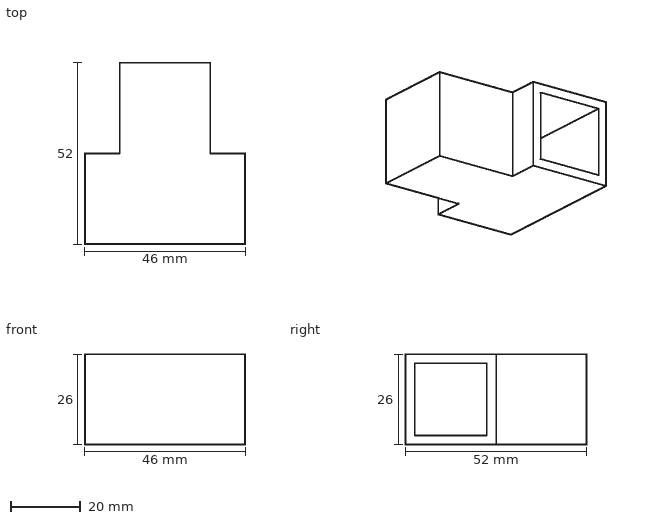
import cadquery as cq

tube_side = 26.0
run_length = 46.0
branch_length = 26.0
bore_side = 20.6

overall_depth = tube_side + branch_length


def through_tube_body():
    """Solid bar along X, with its front face at Y = 0."""
    return cq.Workplane("XY").box(run_length, tube_side, tube_side).translate((0, tube_side / 2, 0))


def branch_body():
    """Solid bar along Y, centred on the through tube."""
    return cq.Workplane("XY").box(tube_side, overall_depth, tube_side).translate((0, overall_depth / 2, 0))


def through_bore():
    """Square passage along the full length of the through tube."""
    return cq.Workplane("XY").box(run_length, bore_side, bore_side).translate((0, tube_side / 2, 0))


result = through_tube_body().union(branch_body()).cut(through_bore())